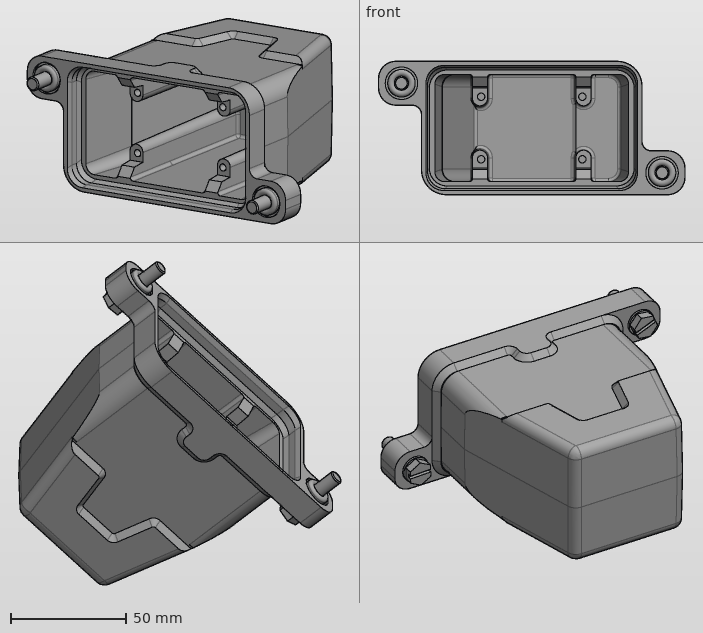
import cadquery as cq
import math


FLANGE_HALF_X = 47.9
FLANGE_HALF_Z = 29.0
FLANGE_DEPTH = 12.2
FLANGE_CORNER = 10.9
FLARE = 2.8
BEVEL_ANGLE = 45
EAR_REACH = 66.5
EAR_WIDTH = 19.2
EAR_CORNER = 7.6
EAR_NOTCH_RADIUS = 4.0

NECK_HALF_X = FLANGE_HALF_X - FLARE
NECK_HALF_Z = FLANGE_HALF_Z - FLARE
NECK_CORNER = 8.5
HOOD_END = 100.1
SLOPE_START = 35.4
SLOPE_ANGLE = 15
SLOPE = math.tan(math.radians(SLOPE_ANGLE))
MOULD_DRAFT = 1.0
HOOD_END_CORNER = 4.8
HOOD_EDGE_ROUND = 4.5

STEP_Y = 57.5
NOTCH_END = 77.3
NOTCH_HALF_X = 15.3
NOTCH_END_ROUND = 1.0
NOTCH_ROOT_ROUND = 4.0

LUG_HALF_X = 10.4
LUG_END = 24.9
LUG_ROUND = 6.4
LUG_FOOT_ROUND = 1.3
LUG_FOOT_HALF_X = 18.6

OPENING_STATIONS = [(0, 45.9, 27.1), (2.7, 45.2, 26.3), (6.4, 45.2, 26.3), (9.0, 44.4, 25.1)]
OPENING_CORNER = 7.7
LEDGE_Y = OPENING_STATIONS[-1][0]

CAVITY_HALF_X = 42.0
CAVITY_HALF_Z = 23.3
CAVITY_CORNER = 4.3
CAVITY_FLOOR_Y = 42.5
CAVITY_FLOOR_HALF_X = 38.6
CAVITY_FLOOR_CORNER = 5.5
WELL_END = 94.4
WELL_RIGHT_X = 19.3
FLOOR_ROUND = 1.5
BOSS_ROOT_ROUND = 1.6

BOSS_X = 22.5
BOSS_DRAFT = 0.5
BOSS_HOLE_X = 22.0
BOSS_HALF_WIDTH = 3.2
BOSS_TIP_Z = 9.7
BOSS_FACE_Y = 19.2
BOSS_HOLE_Z = 13.5
BOSS_HOLE_RADIUS = 1.6
BOSS_HOLE_DEPTH = 10.6
RAMP_FOOT_Z = 22.2
RAMP_TOP_Z = 17.3
RAMP_KNEE_Y = 12.5
RAMP_KNEE_Z = 18.0

SCREW_X = 56.5
SCREW_Z = FLANGE_HALF_Z - EAR_WIDTH / 2
SHANK_RADIUS = 3.0
SHANK_TIP = 11.6
SHANK_TIP_CHAMFER = 0.5
RING_RADIUS = 6.0
RING_HEIGHT = 1.7
RING_SEAT_RADIUS = 7.0
RING_SEAT_DEPTH = 1.3
WASHER_RADIUS = 6.1
WASHER_HEIGHT = 1.0
HEAD_HEIGHT = 5.0
HEAD_CORNER_RADIUS = 5.9
SLOT_WIDTH = 1.5
SLOT_DEPTH = 1.7
SLOT_ANGLE = 60
SCREW_TURNS = {-1: 7, 1: 28}

ORIGIN = (0, 0, 0)
Y_AXIS = (0, 1, 0)
NEAR = 0.1
OVERSHOOT = 1.3


def facing_y(y):
    """Workplane at the given Y that faces +Y; its local axes are -X and +Z."""
    return cq.Workplane(cq.Plane((0, y, 0), (-1, 0, 0), (0, 1, 0)))


def rounded_rectangle(half_x, half_z, radius):
    return cq.Sketch().rect(2 * half_x, 2 * half_z).vertices().fillet(radius)


def rounded_loft(start, end):
    """Solid between two rounded rectangles, each given as (y, half_x, half_z, radius)."""
    start_y, *start_size = start
    end_y, *end_size = end
    end_location = cq.Location(cq.Vector(0, 0, end_y - start_y))
    start_sketch = rounded_rectangle(*start_size)
    end_sketch = rounded_rectangle(*end_size).moved(end_location)
    return facing_y(start_y).placeSketch(start_sketch, end_sketch).loft()


def both_sides(solid):
    """The solid together with its mirror image below the parting plane."""
    return solid.union(solid.mirror("XY"))


def drafted_plate(points, half_height):
    """Plan outline extruded up and down from the parting plane, narrowing with the mould draft."""
    return both_sides(cq.Workplane("XY").polyline(points).close().extrude(half_height, taper=MOULD_DRAFT))


def hood_half_width(y):
    return NECK_HALF_X - (y - SLOPE_START) * SLOPE


def make_ear(side):
    """Screw ear on the left (side -1, at the top) or on the right (side 1, at the bottom)."""
    ear = (
        facing_y(0)
        .center(-side * EAR_REACH / 2, -side * SCREW_Z)
        .rect(EAR_REACH, EAR_WIDTH)
        .extrude(FLANGE_DEPTH)
    )
    return ear.edges("|Y").edges("<X" if side < 0 else ">X").fillet(EAR_CORNER)


def make_flange():
    outline = rounded_rectangle(FLANGE_HALF_X, FLANGE_HALF_Z, FLANGE_CORNER)
    flange = facing_y(0).placeSketch(outline).extrude(FLANGE_DEPTH)
    for side in (-1, 1):
        flange = flange.union(make_ear(side))
    for side in (-1, 1):
        notch_place = (side * FLANGE_HALF_X, FLANGE_DEPTH / 2, -side * (SCREW_Z - EAR_WIDTH / 2))
        notch = cq.selectors.NearestToPointSelector(notch_place)
        flange = flange.edges("|Y").edges(notch).fillet(EAR_NOTCH_RADIUS)
    flare = facing_y(FLANGE_DEPTH).placeSketch(outline).extrude(FLARE, taper=BEVEL_ANGLE)
    return flange.union(flare)


def hood_outline(start, end):
    """Plan polygon of the sloping part of the hood between two Y positions."""
    start_half = hood_half_width(start)
    end_half = hood_half_width(end)
    return [(-start_half, start), (start_half, start), (end_half, end), (-end_half, end)]


def make_neck():
    """Rounded tube between flange and step, trimmed by the sloping sides of the hood."""
    start = FLANGE_DEPTH - OVERSHOOT
    end = STEP_Y
    end_half = hood_half_width(end)
    straight = [(-NECK_HALF_X, start), (NECK_HALF_X, start), (NECK_HALF_X, end), (-NECK_HALF_X, end)]
    sloping = straight[:2] + [
        (NECK_HALF_X, SLOPE_START),
        (end_half, end),
        (-end_half, end),
        (-NECK_HALF_X, SLOPE_START),
    ]
    neck = drafted_plate(straight, NECK_HALF_Z)
    neck = neck.faces("<Z or >Z").edges("<X or >X").fillet(NECK_CORNER)
    return neck.intersect(drafted_plate(sloping, NECK_HALF_Z))


def corner_pair(x, y):
    """Selector for the sketch corners at (x, y) and (-x, y)."""
    right = cq.selectors.BoxSelector((x - NEAR, y - NEAR, -NEAR), (x + NEAR, y + NEAR, NEAR))
    left = cq.selectors.BoxSelector((-x - NEAR, y - NEAR, -NEAR), (-x + NEAR, y + NEAR, NEAR))
    return right + left


def stepped_outline(base_half, base_end, end_half, root_half, end, end_round, root_round):
    """Broad base from Y = 0 to base_end with a narrower rounded tongue that runs on to end."""
    right = [(base_half, 0), (base_half, base_end), (root_half, base_end), (end_half, end)]
    left = [(-x, y) for x, y in reversed(right)]
    outline = cq.Sketch().polygon([*right, *left, right[0]])
    outline = outline.vertices(corner_pair(end_half, end)).fillet(end_round).reset()
    return outline.vertices(corner_pair(root_half, base_end)).fillet(root_round).reset()


def make_step_cutters():
    """Volumes in front of the step and inside its notch, above and below the neck."""
    notch_end_half = NOTCH_HALF_X - (NOTCH_END - STEP_Y) * SLOPE
    outline = stepped_outline(
        EAR_REACH, STEP_Y, notch_end_half, NOTCH_HALF_X, NOTCH_END, NOTCH_END_ROUND, NOTCH_ROOT_ROUND
    )
    cutter = cq.Workplane("XY", origin=(0, 0, NECK_HALF_Z)).placeSketch(outline).extrude(FLARE, taper=-BEVEL_ANGLE)
    return both_sides(cutter)


def make_raised_end():
    """Full height end of the hood, with the stepped and notched face towards the neck."""
    plan = hood_outline(STEP_Y - OVERSHOOT, HOOD_END)
    upper = cq.Workplane("XY").polyline(plan).close().extrude(FLANGE_HALF_Z, taper=MOULD_DRAFT)
    upper = upper.faces(">Y").edges("<X or >X").fillet(HOOD_END_CORNER)
    upper = upper.faces(">Z").edges("not <Y").fillet(HOOD_EDGE_ROUND)
    return both_sides(upper).cut(make_step_cutters())


def make_lugs():
    """Latch lugs with 45 degree sides, blended into the flare of the flange."""
    outline = stepped_outline(
        LUG_FOOT_HALF_X, FLANGE_DEPTH + FLARE, LUG_HALF_X, LUG_HALF_X, LUG_END, LUG_ROUND, LUG_FOOT_ROUND
    )
    lug = cq.Workplane("XY", origin=(0, 0, NECK_HALF_Z)).placeSketch(outline).extrude(FLARE, taper=BEVEL_ANGLE)
    return both_sides(lug)


def make_boss(side):
    """Drafted column on the upper wall, from the ledge inwards, on the left (-1) or right (1)."""
    wall_z = CAVITY_HALF_Z + OVERSHOOT
    shoulder_z = BOSS_TIP_Z + BOSS_HALF_WIDTH
    return (
        facing_y(LEDGE_Y)
        .center(-side * BOSS_X, 0)
        .moveTo(-BOSS_HALF_WIDTH, wall_z)
        .lineTo(-BOSS_HALF_WIDTH, shoulder_z)
        .threePointArc((0, BOSS_TIP_Z), (BOSS_HALF_WIDTH, shoulder_z))
        .lineTo(BOSS_HALF_WIDTH, wall_z)
        .close()
        .extrude(WELL_END + OVERSHOOT - LEDGE_Y, taper=-BOSS_DRAFT)
    )


def root_box(near_x, far_x):
    """Selector for edges between two X positions on the upper or lower cavity wall."""
    upper_low = (near_x, LEDGE_Y, CAVITY_HALF_Z - NEAR)
    upper_high = (far_x, WELL_END, CAVITY_HALF_Z + NEAR)
    lower_low = (near_x, LEDGE_Y, -CAVITY_HALF_Z - NEAR)
    lower_high = (far_x, WELL_END, -CAVITY_HALF_Z + NEAR)
    return cq.selectors.BoxSelector(upper_low, upper_high) + cq.selectors.BoxSelector(lower_low, lower_high)


def cut_bosses(hollow, roots):
    """Hollow without the four bosses, with a round at the selected boss roots and around its floor."""
    for side in (-1, 1):
        hollow = hollow.cut(both_sides(make_boss(side)))
    hollow = hollow.edges(roots).fillet(BOSS_ROOT_ROUND)
    return hollow.faces(">Y").edges().fillet(FLOOR_ROUND)


def make_boss_relief(side):
    """Space in front of a boss: it sets back the end face and leaves a ramp up from the ledge."""
    return (
        cq.Workplane("YZ", origin=(side * BOSS_X, 0, 0))
        .moveTo(LEDGE_Y, 0)
        .lineTo(LEDGE_Y, RAMP_FOOT_Z)
        .lineTo(RAMP_KNEE_Y, RAMP_KNEE_Z)
        .lineTo(BOSS_FACE_Y, RAMP_TOP_Z)
        .lineTo(BOSS_FACE_Y, 0)
        .close()
        .extrude(BOSS_HALF_WIDTH + BOSS_ROOT_ROUND, both=True)
    )


def make_boss_hole(side):
    hole = facing_y(BOSS_FACE_Y).center(-side * BOSS_HOLE_X, BOSS_HOLE_Z)
    return hole.circle(BOSS_HOLE_RADIUS).extrude(BOSS_HOLE_DEPTH)


def make_opening():
    """Stepped opening from the mating face down to the ledge."""
    opening = cq.Workplane("XY")
    for near, far in zip(OPENING_STATIONS, OPENING_STATIONS[1:]):
        opening = opening.union(rounded_loft((*near, OPENING_CORNER), (*far, OPENING_CORNER)))
    return opening


def make_shallow_hollow():
    """Full width hollow from the ledge to the floor at CAVITY_FLOOR_Y."""
    hollow = rounded_loft(
        (LEDGE_Y, CAVITY_HALF_X, CAVITY_HALF_Z, CAVITY_CORNER),
        (CAVITY_FLOOR_Y, CAVITY_FLOOR_HALF_X, CAVITY_HALF_Z, CAVITY_FLOOR_CORNER),
    )
    reach = BOSS_HALF_WIDTH + OVERSHOOT
    left_roots = root_box(-BOSS_X - reach, -BOSS_X + reach)
    right_roots = root_box(BOSS_X - reach, BOSS_X + reach)
    return cut_bosses(hollow, left_roots + right_roots)


def make_well():
    """Deep hollow behind the floor, along the sloping left side of the hood."""
    start = CAVITY_FLOOR_Y - FLOOR_ROUND
    left_start = -CAVITY_FLOOR_HALF_X - FLOOR_ROUND * SLOPE
    left_end = left_start + (WELL_END - start) * SLOPE
    plan = [(left_start, start), (left_end, WELL_END), (WELL_RIGHT_X, WELL_END), (WELL_RIGHT_X, start)]
    well = cq.Workplane("XY").polyline(plan).close().extrude(CAVITY_HALF_Z, both=True)
    well = well.faces("<Z or >Z").edges("<X").fillet(CAVITY_FLOOR_CORNER)
    reach = BOSS_HALF_WIDTH + OVERSHOOT
    return cut_bosses(well, root_box(-BOSS_X, -BOSS_X + reach) + root_box(BOSS_X - reach, BOSS_X))


def make_cavity():
    cavity = make_shallow_hollow().union(make_well())
    for side in (-1, 1):
        cavity = cavity.union(both_sides(make_boss_relief(side)))
        cavity = cavity.union(both_sides(make_boss_hole(side)))
    return cavity


def screw_place(side):
    return (side * SCREW_X, 0, -side * SCREW_Z)


def make_housing():
    housing = make_flange().union(make_neck()).union(make_raised_end()).union(make_lugs())
    housing = housing.cut(make_opening()).cut(make_cavity())
    for side in (-1, 1):
        shank_hole = facing_y(0).circle(SHANK_RADIUS).extrude(FLANGE_DEPTH)
        ring_seat = facing_y(0).circle(RING_SEAT_RADIUS).extrude(RING_SEAT_DEPTH)
        housing = housing.cut(shank_hole.union(ring_seat).translate(screw_place(side)))
    return housing


def make_ring():
    """Ring around the shank with a half round rim, seated in the recess of the mating face."""
    tube_radius = (RING_RADIUS - SHANK_RADIUS) / 2
    round_start = tube_radius - RING_HEIGHT
    return (
        cq.Workplane("XY")
        .moveTo(SHANK_RADIUS, RING_SEAT_DEPTH)
        .lineTo(SHANK_RADIUS, round_start)
        .threePointArc((SHANK_RADIUS + tube_radius, -RING_HEIGHT), (RING_RADIUS, round_start))
        .lineTo(RING_RADIUS, RING_SEAT_DEPTH)
        .close()
        .revolve(360, ORIGIN, Y_AXIS)
    )


def make_head():
    """Slotted hexagon head on its washer face."""
    washer = facing_y(FLANGE_DEPTH).circle(WASHER_RADIUS).extrude(WASHER_HEIGHT)
    hexagon = facing_y(FLANGE_DEPTH).polygon(6, 2 * HEAD_CORNER_RADIUS).extrude(HEAD_HEIGHT)
    slot_length = 2 * (HEAD_CORNER_RADIUS + OVERSHOOT)
    slot = facing_y(FLANGE_DEPTH + HEAD_HEIGHT - SLOT_DEPTH).rect(SLOT_WIDTH, slot_length).extrude(SLOT_DEPTH)
    return washer.union(hexagon.cut(slot.rotate(ORIGIN, Y_AXIS, -SLOT_ANGLE)))


def make_screw(side):
    shank = facing_y(-SHANK_TIP).circle(SHANK_RADIUS).extrude(SHANK_TIP + FLANGE_DEPTH)
    shank = shank.faces("<Y").chamfer(SHANK_TIP_CHAMFER)
    screw = shank.union(make_ring()).union(make_head())
    return screw.rotate(ORIGIN, Y_AXIS, -SCREW_TURNS[side]).translate(screw_place(side))


housing = make_housing()
screws = [make_screw(side) for side in (-1, 1)]
result = cq.Compound.makeCompound([housing.val(), *[screw.val() for screw in screws]])